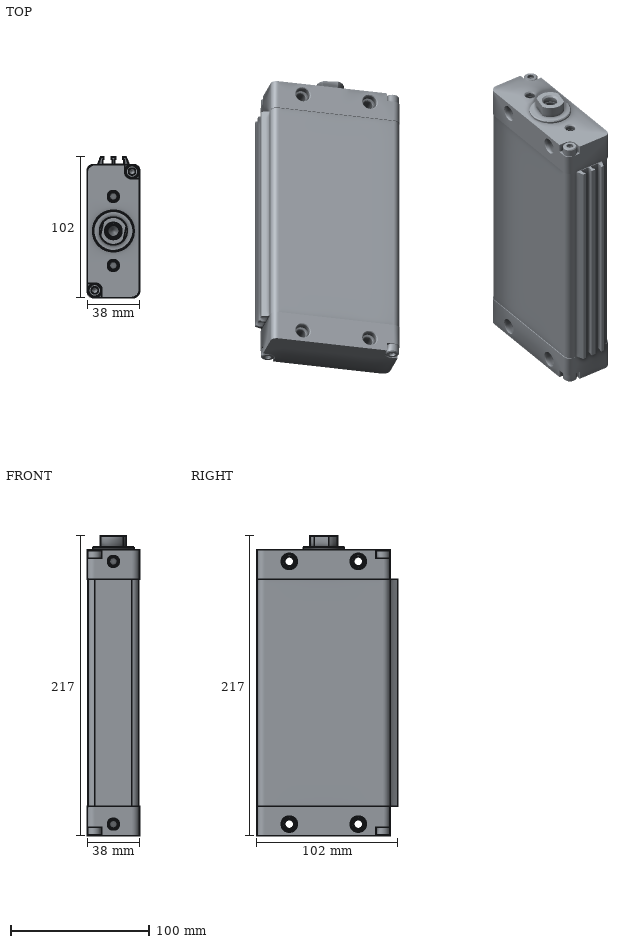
import cadquery as cq
import math

total_height = 217.0
rod_projection = 10.0
cap_height = 21.3
upper_cap_top = total_height - rod_projection
barrel_height = upper_cap_top - 2 * cap_height

cap_width = 38.0
cap_front_y = -48.4
cap_back_y = 48.0
cap_front_corner_radius = 5.5
cap_back_corner_radius = 4.5

screw_x = 13.5
screw_y = 43.0
screw_head_diameter = 10.0
screw_head_chamfer = 0.7
screw_head_height = 6.0
socket_diameter = 5.0
socket_depth = 2.2
drill_point_angle = 118.0
notch_diameter = 10.5

hole_spacing = 50.0
hole_inset = 8.5
thread_diameter = 6.7
thread_mouth_diameter = 8.5
pilot_diameter = 5.9
pilot_depth = 0.9
port_depth = 8.7
end_hole_depth = 4.8
cross_hole_diameter = 6.7
cross_hole_chamfer_diameter = 7.8
counterbore_diameter = 10.5
counterbore_mouth_diameter = 11.5
counterbore_depth = 5.5

collar_diameter = 30.0
collar_height = 2.0
collar_chamfer = 0.7

rod_diameter = 20.0
rod_across_flats = 17.0
rod_flat_angle = -12.0
rod_counterbore_diameter = 10.0
rod_counterbore_mouth_diameter = 12.4
rod_counterbore_depth = 5.0
rod_bore_diameter = 8.5
rod_bore_depth = 21.7

barrel_width = 36.9
barrel_corner_radius = 5.0
rail_height = 5.6
rail_lip_thickness = 1.7
center_rail_head_width = 3.3
center_rail_stem_width = 2.0
side_rail_lip_x = 7.0
side_rail_inner_x = 7.5
side_rail_tip_x = 9.1
side_rail_foot_x = 11.3


def mouthed_hole(diameter, mouth_diameter, depth):
    """Blind round hole going down from the origin, with a 45 degree countersunk mouth."""
    mouth_depth = (mouth_diameter - diameter) / 2
    return (
        cq.Workplane("XZ")
        .polyline([
            (0, 0),
            (mouth_diameter / 2, 0),
            (diameter / 2, -mouth_depth),
            (diameter / 2, -depth),
            (0, -depth),
        ])
        .close()
        .revolve(360, (0, 0, 0), (0, 1, 0))
    )


def threaded_hole(depth):
    """Countersunk threaded hole going down from the origin, with a short narrower pilot at its bottom."""
    thread = mouthed_hole(thread_diameter, thread_mouth_diameter, depth - pilot_depth)
    pilot = cq.Workplane("XY").circle(pilot_diameter / 2).extrude(-depth)
    return thread.union(pilot)


def drill_point(diameter, depth):
    """Conical hole bottom that starts at the given depth below the origin."""
    point_height = diameter / 2 / math.tan(math.radians(drill_point_angle / 2))
    cone = cq.Solid.makeCone(diameter / 2, 0, point_height, cq.Vector(0, 0, -depth), cq.Vector(0, 0, -1))
    return cq.Workplane(cone)


def screw_notch():
    """Corner recess around a screw at the (+X, +Y) corner, cut down from the cap's end face at Z = 0."""
    radius = notch_diameter / 2
    reach = cap_width / 2
    return (
        cq.Workplane("XY")
        .moveTo(reach, -radius)
        .lineTo(0, -radius)
        .radiusArc((-radius, 0), radius)
        .lineTo(-radius, reach)
        .lineTo(reach, reach)
        .close()
        .extrude(-screw_head_height)
        .translate((screw_x, screw_y, 0))
    )


def screw_head():
    """Socket screw head whose top lies at Z = 0, above the (+X, +Y) corner recess."""
    head = (
        cq.Workplane("XY")
        .circle(screw_head_diameter / 2)
        .extrude(-screw_head_height)
        .faces(">Z")
        .chamfer(screw_head_chamfer)
        .cut(cq.Workplane("XY").circle(socket_diameter / 2).extrude(-socket_depth))
        .cut(drill_point(socket_diameter, socket_depth))
    )
    return head.translate((screw_x, screw_y, 0))


def cross_hole():
    """Hole through the cap along X, with a chamfered counterbore on both sides."""
    hole = (
        cq.Workplane("YZ", origin=(-cap_width / 2, 0, 0))
        .circle(cross_hole_diameter / 2)
        .extrude(cap_width)
    )
    counterbore = mouthed_hole(counterbore_diameter, counterbore_mouth_diameter, counterbore_depth)
    entry = mouthed_hole(cross_hole_diameter, cross_hole_chamfer_diameter, counterbore_depth)
    stepped_entry = counterbore.union(entry.translate((0, 0, -counterbore_depth)))
    for turn in (-90, 90):
        side_entry = stepped_entry.translate((0, 0, cap_width / 2)).rotate((0, 0, 0), (0, 1, 0), turn)
        hole = hole.union(side_entry)
    return hole


def plain_cap():
    """End cap with its outer end face at Z = 0 and its body below."""
    cap = (
        cq.Workplane("XY")
        .center(0, (cap_front_y + cap_back_y) / 2)
        .rect(cap_width, cap_back_y - cap_front_y)
        .extrude(-cap_height)
        .edges("|Z and <Y")
        .fillet(cap_front_corner_radius)
        .edges("|Z and >Y")
        .fillet(cap_back_corner_radius)
    )
    for turn in (0, 180):
        cap = cap.cut(screw_notch().rotate((0, 0, 0), (0, 0, 1), turn))
        cap = cap.union(screw_head().rotate((0, 0, 0), (0, 0, 1), turn))
    for y in (-hole_spacing / 2, hole_spacing / 2):
        cap = cap.cut(cross_hole().translate((0, y, -hole_inset)))
    port = threaded_hole(port_depth)
    port = port.rotate((0, 0, 0), (1, 0, 0), 90)
    return cap.cut(port.translate((0, cap_front_y, -hole_inset)))


def make_upper_cap():
    """Cap with two threaded end holes and a collar that guides the rod."""
    cap = plain_cap()
    collar = (
        cq.Workplane("XY")
        .circle(collar_diameter / 2)
        .extrude(collar_height)
        .faces(">Z")
        .chamfer(collar_chamfer)
    )
    cap = cap.union(collar)
    for y in (-hole_spacing / 2, hole_spacing / 2):
        end_hole = threaded_hole(end_hole_depth)
        cap = cap.cut(end_hole.translate((0, y, 0)))
    rod_passage = (
        cq.Workplane("XY", origin=(0, 0, -cap_height))
        .circle(rod_diameter / 2)
        .extrude(cap_height + collar_height)
    )
    return cap.cut(rod_passage).translate((0, 0, upper_cap_top))


def make_lower_cap():
    """Plain cap, mirrored so that its end face points down."""
    return plain_cap().mirror("XY")


def make_rod():
    """Rod through the upper cap, with two wrench flats and a blind bore in its end."""
    rod_bottom = upper_cap_top - cap_height
    flats_bottom = upper_cap_top + collar_height
    rod = (
        cq.Workplane("XY", origin=(0, 0, rod_bottom))
        .circle(rod_diameter / 2)
        .extrude(total_height - rod_bottom)
    )
    flatted_zone = (
        cq.Workplane("XY", origin=(0, 0, flats_bottom))
        .rect(2 * rod_diameter, 2 * rod_diameter)
        .rect(rod_across_flats, 2 * rod_diameter)
        .extrude(total_height - flats_bottom)
        .rotate((0, 0, 0), (0, 0, 1), rod_flat_angle)
    )
    counterbore = mouthed_hole(
        rod_counterbore_diameter, rod_counterbore_mouth_diameter, rod_counterbore_depth
    )
    bore = (
        cq.Workplane("XY")
        .circle(rod_bore_diameter / 2)
        .extrude(-rod_bore_depth)
        .union(drill_point(rod_bore_diameter, rod_bore_depth))
        .union(counterbore)
    )
    return rod.cut(flatted_zone).cut(bore.translate((0, 0, total_height)))


def make_barrel():
    """Long tube body with a raised pad on each narrow side and sensor rails on the +Y side."""
    barrel_section = cq.Workplane("XY", origin=(0, 0, cap_height))
    side_y = cap_back_y
    pad_height = -cap_front_y - side_y
    rail_top_y = side_y + rail_height
    lip_bottom_y = rail_top_y - rail_lip_thickness

    barrel = (
        barrel_section.rect(barrel_width, 2 * side_y)
        .extrude(barrel_height)
        .edges("|Z")
        .fillet(barrel_corner_radius)
    )

    front_pad = (
        barrel_section.center(0, -side_y)
        .rect(2 * screw_x, 2 * pad_height)
        .extrude(barrel_height)
    )
    slot_floor = (
        barrel_section.center(0, side_y)
        .rect(2 * side_rail_inner_x, 2 * pad_height)
        .extrude(barrel_height)
    )
    barrel = barrel.union(front_pad).union(slot_floor)

    center_stem = (
        barrel_section.center(0, side_y)
        .rect(center_rail_stem_width, 2 * rail_height)
        .extrude(barrel_height)
    )
    center_head = (
        barrel_section.center(0, rail_top_y - rail_lip_thickness / 2)
        .rect(center_rail_head_width, rail_lip_thickness)
        .extrude(barrel_height)
    )
    barrel = barrel.union(center_stem).union(center_head)

    for side in (-1, 1):
        outline = [
            (side_rail_foot_x, side_y),
            (side_rail_tip_x, rail_top_y),
            (side_rail_lip_x, rail_top_y),
            (side_rail_lip_x, lip_bottom_y),
            (side_rail_inner_x, lip_bottom_y),
            (side_rail_inner_x, side_y),
        ]
        side_rail = (
            barrel_section.polyline([(side * x, y) for x, y in outline])
            .close()
            .extrude(barrel_height)
        )
        barrel = barrel.union(side_rail)
    return barrel


upper_cap = make_upper_cap()
lower_cap = make_lower_cap()
rod = make_rod()
barrel = make_barrel()

result = cq.Compound.makeCompound([
    upper_cap.val(),
    lower_cap.val(),
    rod.val(),
    barrel.val(),
])